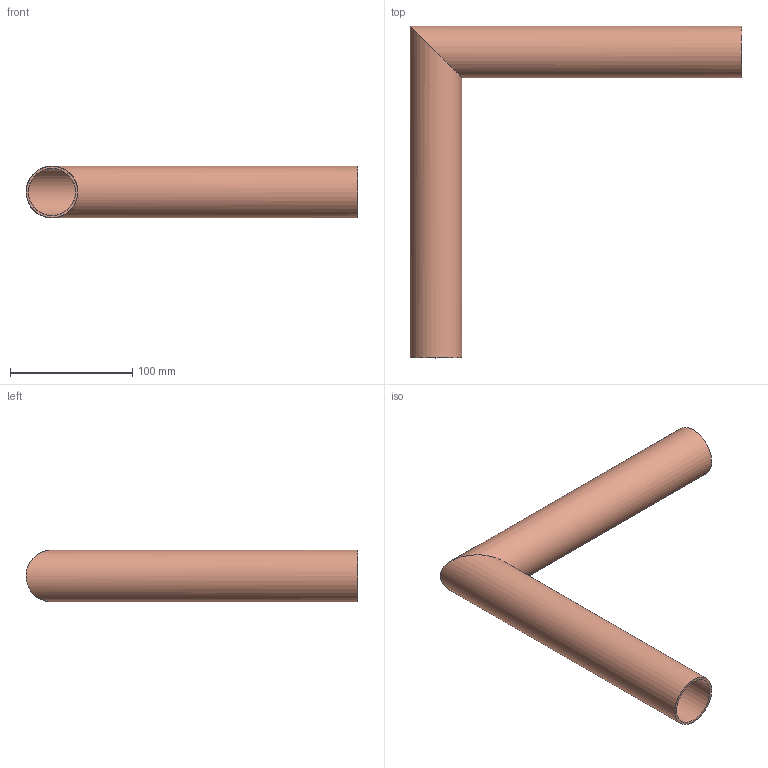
import cadquery as cq

outer_diameter = 42.4
wall_thickness = 2.0
leg_length = 250.0

outer_radius = outer_diameter / 2
inner_radius = outer_radius - wall_thickness


def mitred_leg(radius):
    """Solid round leg along +X, cut at its start by the plane x = -y."""
    rod = (
        cq.Workplane("YZ")
        .workplane(offset=-radius)
        .circle(radius)
        .extrude(leg_length + radius)
    )
    kept_side = (
        cq.Workplane("XY")
        .polyline([
            (-leg_length, leg_length),
            (leg_length, leg_length),
            (leg_length, -leg_length),
        ])
        .close()
        .extrude(radius, both=True)
    )
    return rod.intersect(kept_side)


def mitred_elbow(radius):
    """Leg along +X joined to its mirror image along -Y across the mitre plane."""
    leg_x = mitred_leg(radius)
    leg_y = leg_x.rotate((0, 0, 0), (1, -1, 0), 180)
    return leg_x.union(leg_y)


result = mitred_elbow(outer_radius).cut(mitred_elbow(inner_radius))